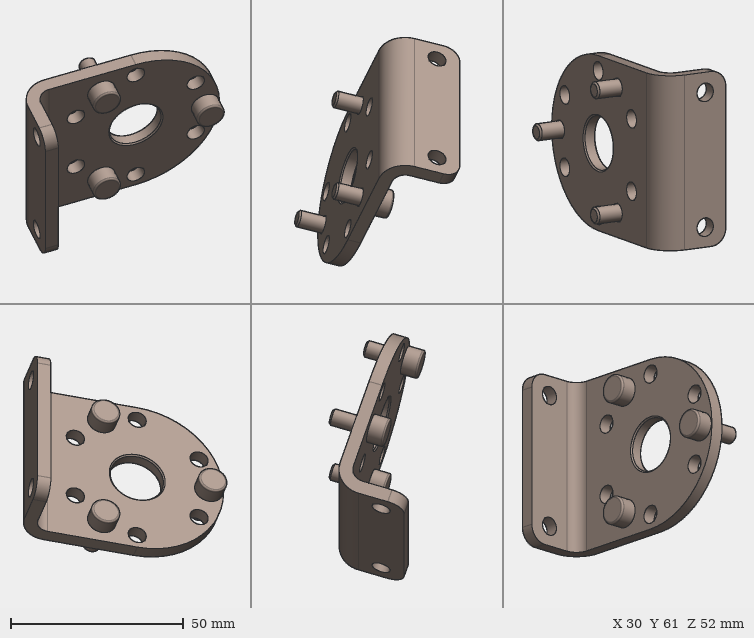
import cadquery as cq
import math

outer_length = 61.0
bracket_width = 52.0
bracket_depth = 22.0
thickness = 4.0
inner_bend_radius = 4.0
outer_bend_radius = inner_bend_radius + thickness
plate_end_radius = bracket_width / 2
foot_corner_radius = 5.0
foot_bottom_y = plate_end_radius - outer_length

bore_diameter = 16.0
bore_chamfer = 0.4
hole_circle_radius = 21.5
plate_hole_diameter = 5.4
open_hole_angles = [30, 90, 150, 210, 270, 330]
screw_angles = [0, 120, 240]

foot_hole_diameter = 5.5
foot_hole_edge_distance = 7.0
foot_hole_spacing = 40.0

shank_diameter = 5.0
shank_length = 12.0
shank_chamfer = 0.55
screw_head_diameter = 8.5
screw_head_height = 5.0
screw_head_fillet = 0.55


def circle_point(angle):
    """(Y, Z) position on the hole circle."""
    turn = math.radians(angle)
    return hole_circle_radius * math.cos(turn), hole_circle_radius * math.sin(turn)


def make_bent_strip():
    """L-shaped strip with a rounded bend, centred on Z = 0."""
    return (
        cq.Workplane("XY")
        .moveTo(0, plate_end_radius)
        .lineTo(0, foot_bottom_y + outer_bend_radius)
        .radiusArc((outer_bend_radius, foot_bottom_y), -outer_bend_radius)
        .lineTo(bracket_depth, foot_bottom_y)
        .lineTo(bracket_depth, foot_bottom_y + thickness)
        .lineTo(outer_bend_radius, foot_bottom_y + thickness)
        .radiusArc((thickness, foot_bottom_y + outer_bend_radius), inner_bend_radius)
        .lineTo(thickness, plate_end_radius)
        .close()
        .extrude(bracket_width / 2, both=True)
    )


def make_rounded_envelope():
    """Outline of the plate seen along X, with its half-round end."""
    return (
        cq.Workplane("YZ")
        .moveTo(foot_bottom_y, -plate_end_radius)
        .lineTo(0, -plate_end_radius)
        .threePointArc((plate_end_radius, 0), (0, plate_end_radius))
        .lineTo(foot_bottom_y, plate_end_radius)
        .close()
        .extrude(bracket_depth)
    )


def make_bore_chamfer(face_x, inward):
    """Cutter that bevels the bore at one plate face; inward is +1 or -1 along X."""
    cone = cq.Solid.makeCone(
        bore_diameter / 2 + bore_chamfer,
        bore_diameter / 2,
        bore_chamfer,
        pnt=cq.Vector(face_x, 0, 0),
        dir=cq.Vector(inward, 0, 0),
    )
    return cq.Workplane(cone)


def make_plate_holes():
    """Central bore and the circle of clearance holes, as cutters."""
    hole_points = [circle_point(angle) for angle in open_hole_angles + screw_angles]
    clearance_holes = (
        cq.Workplane("YZ").pushPoints(hole_points).circle(plate_hole_diameter / 2).extrude(thickness)
    )
    bore = cq.Workplane("YZ").circle(bore_diameter / 2).extrude(thickness)
    return clearance_holes.union(bore).union(make_bore_chamfer(0, 1)).union(make_bore_chamfer(thickness, -1))


def make_foot_holes():
    """Two mounting holes through the foot, as cutters."""
    hole_x = bracket_depth - foot_hole_edge_distance
    hole_points = [(hole_x, side * foot_hole_spacing / 2) for side in (-1, 1)]
    return (
        cq.Workplane("XZ", origin=(0, foot_bottom_y + thickness, 0))
        .pushPoints(hole_points)
        .circle(foot_hole_diameter / 2)
        .extrude(thickness)
    )


def make_bracket():
    blank = make_bent_strip().intersect(make_rounded_envelope())
    rounded = blank.edges("|Y and >X").fillet(foot_corner_radius)
    return rounded.cut(make_plate_holes()).cut(make_foot_holes())


def make_screw(angle):
    """Screw with its head on the inner plate face and its tip toward -X."""
    y, z = circle_point(angle)
    seat = cq.Workplane("YZ", origin=(thickness, y, z))
    shank = seat.circle(shank_diameter / 2).extrude(-shank_length).faces("<X").chamfer(shank_chamfer)
    head = (
        seat.circle(screw_head_diameter / 2)
        .extrude(screw_head_height)
        .faces(">X")
        .edges()
        .fillet(screw_head_fillet)
    )
    return head.union(shank)


bracket = make_bracket()
screws = [make_screw(angle) for angle in screw_angles]

result = cq.Compound.makeCompound([bracket.val(), *[screw.val() for screw in screws]])